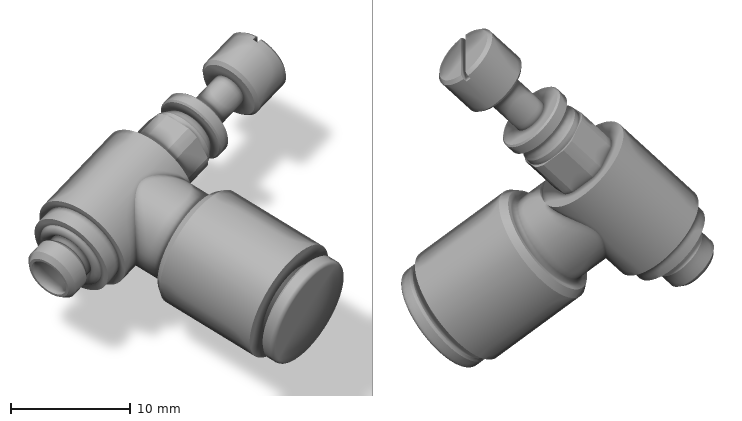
import cadquery as cq
import math


body_radius = 4.55
body_top = 3.78
body_bottom = -5.65
flange_radius = 3.87
flange_bottom = -7.2

spindle_length = 29.1
thread_end = -10.27
thread_radius = 2.5
undercut_radius = 2.12
undercut_bottom = -7.95
thread_chamfer = 0.45
bore_radius = 1.8
bore_depth = 2.9

seal_radius = 3.2
seal_height = 0.4

hex_across_flats = 6.0
hex_corner_radius = 3.2
hex_top = 7.5

dome_base_radius = 2.9
dome_base_top = 8.05
dome_side_radius = 2.8
dome_side_top = 8.24
dome_top_radius = 2.4
dome_top = 8.93
dome_bulge = 0.03

neck_radius = 1.95
collar_radius = 3.2
collar_bottom = 9.22
collar_top = 10.42
collar_chamfer = 0.15
stem_radius = 1.55
knob_radius = 3.0
knob_bottom = 14.58
knob_top = thread_end + spindle_length
knob_chamfer = 0.3
slot_width = 0.5
slot_depth = 0.65

branch_radius = 4.13
branch_fillet = 0.35
sleeve_diameter = 10.85
sleeve_radius = sleeve_diameter / 2
sleeve_start = 7.4
sleeve_end = 17.45
sleeve_chamfer_length = 0.6
sleeve_chamfer_height = 0.47
release_neck_radius = 3.58
release_start = 18.3
release_radius = 4.95
release_end = 19.6
release_chamfer = 0.2
release_rounding = 0.32


def cylinder_y(radius, start, end):
    """Cylinder around the Y axis between two heights."""
    return cq.Workplane("XZ", origin=(0, start, 0)).circle(radius).extrude(start - end)


def cylinder_x(radius, start, end):
    """Cylinder around the X axis between two stations."""
    return cq.Workplane("YZ", origin=(start, 0, 0)).circle(radius).extrude(end - start)


def make_body():
    body = cylinder_y(body_radius, body_bottom, body_top)
    flange = cylinder_y(flange_radius, flange_bottom, body_bottom)
    return body.union(flange)


def make_seal():
    """Ring whose section is a circular arc bulging down from the flange."""
    seal_middle = ((seal_radius + undercut_radius) / 2, flange_bottom - seal_height)
    return (
        cq.Workplane("XY")
        .moveTo(seal_radius, flange_bottom)
        .threePointArc(seal_middle, (undercut_radius, flange_bottom))
        .close()
        .revolve(360, (0, 0, 0), (0, 1, 0))
    )


def make_thread():
    thread = cylinder_y(thread_radius, thread_end, undercut_bottom).edges().chamfer(thread_chamfer)
    return thread.union(cylinder_y(undercut_radius, undercut_bottom, flange_bottom))


def make_hexagon():
    """Hexagon with two flats square to Z, rounded to the corner circle."""
    across_corners = hex_across_flats / math.cos(math.radians(30))
    prism = (
        cq.Workplane("XZ", origin=(0, body_top, 0))
        .polygon(6, across_corners)
        .extrude(body_top - hex_top)
    )
    return prism.intersect(cylinder_y(hex_corner_radius, body_top, hex_top))


def make_dome():
    arc_middle = (
        (dome_side_radius + dome_top_radius) / 2 + dome_bulge,
        (dome_side_top + dome_top) / 2,
    )
    return (
        cq.Workplane("XY")
        .moveTo(0, hex_top)
        .lineTo(dome_base_radius, hex_top)
        .lineTo(dome_base_radius, dome_base_top)
        .lineTo(dome_side_radius, dome_side_top)
        .threePointArc(arc_middle, (dome_top_radius, dome_top))
        .lineTo(0, dome_top)
        .close()
        .revolve(360, (0, 0, 0), (0, 1, 0))
    )


def make_spindle():
    neck = cylinder_y(neck_radius, dome_top, collar_bottom)
    collar = cylinder_y(collar_radius, collar_bottom, collar_top).edges().chamfer(collar_chamfer)
    stem = cylinder_y(stem_radius, collar_top, knob_bottom)
    knob = cylinder_y(knob_radius, knob_bottom, knob_top).edges().chamfer(knob_chamfer)
    slot = cq.Workplane("XY").box(slot_width, 2 * slot_depth, 2 * knob_radius)
    knob = knob.cut(slot.translate((0, knob_top, 0)))
    return neck.union(collar).union(stem).union(knob)


def make_branch():
    """Tube that flares into the sleeve, kept clear of the space above the body."""
    flare_start = sleeve_start - branch_fillet
    fillet_middle = (
        flare_start + branch_fillet * math.sin(math.radians(45)),
        branch_radius + branch_fillet * (1 - math.cos(math.radians(45))),
    )
    branch = (
        cq.Workplane("XY")
        .moveTo(0, 0)
        .lineTo(0, branch_radius)
        .lineTo(flare_start, branch_radius)
        .threePointArc(fillet_middle, (sleeve_start, branch_radius + branch_fillet))
        .lineTo(sleeve_start, sleeve_radius - sleeve_chamfer_height)
        .lineTo(sleeve_start + sleeve_chamfer_length, sleeve_radius)
        .lineTo(sleeve_end, sleeve_radius)
        .lineTo(sleeve_end, 0)
        .close()
        .revolve(360, (0, 0, 0), (1, 0, 0))
    )
    return branch.cut(cylinder_y(body_radius, body_top, sleeve_radius))


def make_release_ring():
    neck = cylinder_x(release_neck_radius, sleeve_end, release_start)
    ring = cylinder_x(release_radius, release_start, release_end)
    ring = ring.faces("<X").edges().chamfer(release_chamfer)
    ring = ring.faces(">X").edges().fillet(release_rounding)
    return neck.union(ring)


bore = cylinder_y(bore_radius, thread_end, thread_end + bore_depth)

result = (
    make_body()
    .union(make_branch())
    .union(make_release_ring())
    .union(make_hexagon())
    .union(make_dome())
    .union(make_spindle())
    .union(make_thread())
    .union(make_seal())
    .cut(bore)
)